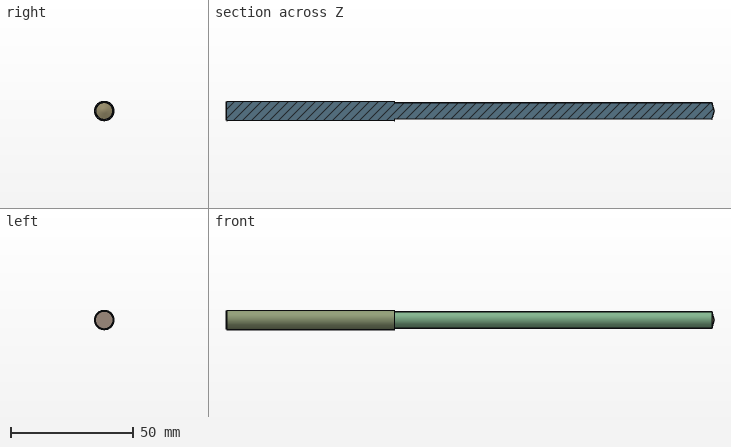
import cadquery as cq
import math

overall_length = 200.0
shank_diameter = 8.0
shank_length = 69.0
shank_chamfer = 0.4
body_diameter = 6.9
point_angle = 150.0

shank_radius = shank_diameter / 2
body_radius = body_diameter / 2
point_height = body_radius / math.tan(math.radians(point_angle / 2))

shank_end_x = -overall_length / 2
shoulder_x = shank_end_x + shank_length
tip_x = shank_end_x + overall_length
point_base_x = tip_x - point_height


def make_drill_blank():
    """Revolve the half profile of shank, body and point about the X axis."""
    half_profile = (
        cq.Workplane("XY")
        .moveTo(shank_end_x, 0)
        .lineTo(shank_end_x, shank_radius - shank_chamfer)
        .lineTo(shank_end_x + shank_chamfer, shank_radius)
        .lineTo(shoulder_x, shank_radius)
        .lineTo(shoulder_x, body_radius)
        .lineTo(point_base_x, body_radius)
        .lineTo(tip_x, 0)
        .close()
    )
    return half_profile.revolve(360, (0, 0, 0), (1, 0, 0))


result = make_drill_blank()